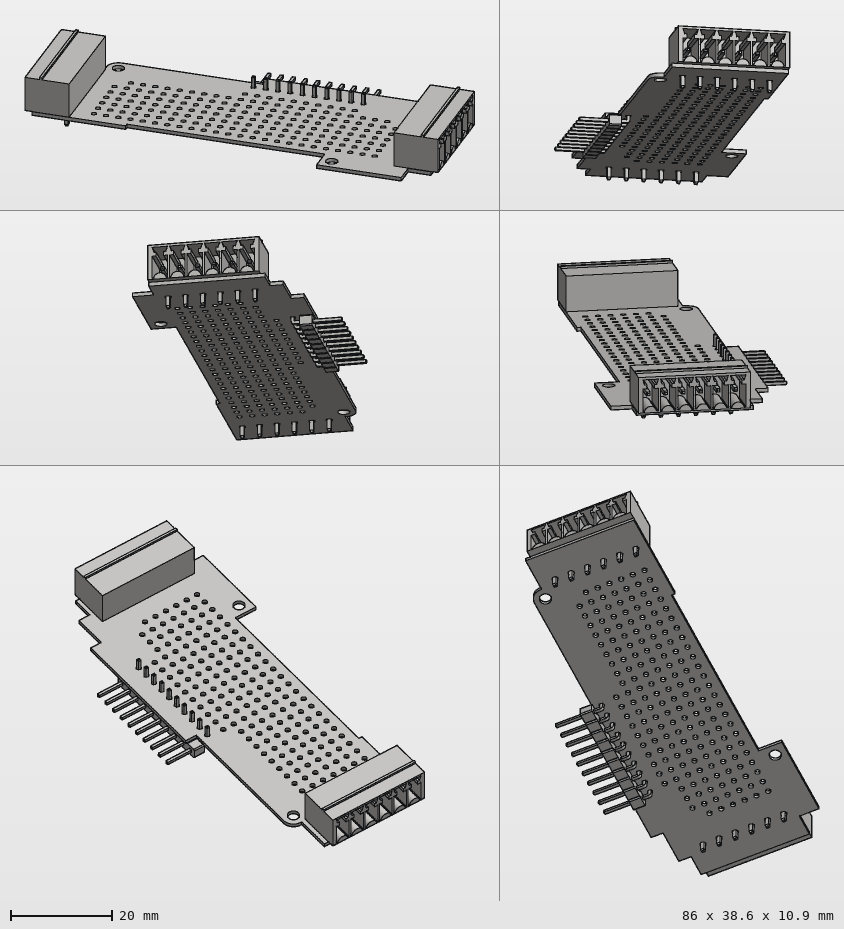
import cadquery as cq
import math

overall_length = 86.0
overall_width = 38.6
half_length = overall_length / 2
half_width = overall_width / 2

board_thickness = 0.8
end_tongue_x = 41.5
end_tongue_top_y = 8.4
end_tongue_bottom_y = -15.05
upper_edge_y = 11.1
header_edge_y = 13.7
header_edge_start_x = -2.4
header_edge_end_x = 29.3
right_shoulder_x = 36.8
lower_edge_y = -14.3
lower_left_step_x = -22.0
lower_tab_x = 19.2

mount_hole_diameter = 2.4
ear_radius = 2.4
ear_hole = (-31.6, upper_edge_y - ear_radius)
tab_hole = (21.5, -16.85)

grid_span = 58.5
grid_columns = 24
grid_pitch = grid_span / (grid_columns - 1)
grid_hole_diameter = 1.0
grid_first_x = -29.7
grid_first_y = -11.95
full_rows = 6
grid_rows = full_rows * [(0, 23)] + [(1, 22), (10, 19)]

header_pins = 10
header_center_x = 7.8
header_pin_y = 9.3
header_pin_size = 0.64
header_pin_tip = 0.2
header_pin_top_z = 2.4
header_pin_level_z = -1.9
header_bend_radius = 0.6
header_hole_diameter = 1.0
block_center_y = 12.1
block_depth = 2.5
block_height = 2.3
block_chamfer = 0.3
block_top_z = -board_thickness
block_center_z = block_top_z - block_height / 2
header_pin_xs = [
    header_center_x + (i - (header_pins - 1) / 2) * grid_pitch for i in range(header_pins)
]

overall_height = 10.9
terminal_pins = 6
terminal_row_span = 17.55
terminal_pitch = terminal_row_span / (terminal_pins - 1)
terminal_length = 9.2
terminal_width = 22.45
terminal_height = 7.3
left_terminal_y = -3.8
right_terminal_y = -3.7
ridge_offset = 3.0
ridge_width = 0.5
ridge_height = 0.4
pocket_depth = 6.9
pocket_half_width = 1.55
pocket_floor_z = 0.3
tooth_bottom_z = 4.9
tooth_top_z = 5.8
neck_half_width = 0.8
key_half_width = 1.2
pocket_top_z = 6.8
rib_radius = 1.3
contact_size = 0.8
contact_tip_inset = 0.2
contact_tip_length = 0.4
contact_z = 3.2
contact_recess = 2.15
solder_pin_offset = 7.9
solder_pin_bottom_z = terminal_height + ridge_height - overall_height
solder_hole_diameter = 1.2
terminal_pin_ys = [(i - (terminal_pins - 1) / 2) * terminal_pitch for i in range(terminal_pins)]


def box_between(low, high):
    """Box spanned by its lowest and highest corner."""
    size = [end - start for start, end in zip(low, high)]
    return cq.Workplane("XY").box(*size, centered=False).translate(low)


def board_blank():
    outline = (
        cq.Workplane("XY")
        .moveTo(-end_tongue_x, end_tongue_bottom_y)
        .lineTo(lower_left_step_x, end_tongue_bottom_y)
        .lineTo(lower_left_step_x, lower_edge_y)
        .lineTo(lower_tab_x, lower_edge_y)
        .lineTo(lower_tab_x, -half_width)
        .lineTo(right_shoulder_x, -half_width)
        .lineTo(right_shoulder_x, end_tongue_bottom_y)
        .lineTo(end_tongue_x, end_tongue_bottom_y)
        .lineTo(end_tongue_x, end_tongue_top_y)
        .lineTo(right_shoulder_x, end_tongue_top_y)
        .lineTo(right_shoulder_x, upper_edge_y)
        .lineTo(header_edge_end_x, upper_edge_y)
        .lineTo(header_edge_end_x, header_edge_y)
        .lineTo(header_edge_start_x, header_edge_y)
        .lineTo(header_edge_start_x, upper_edge_y)
        .lineTo(ear_hole[0], upper_edge_y)
        .radiusArc((ear_hole[0] - ear_radius, ear_hole[1]), -ear_radius)
        .lineTo(ear_hole[0] - ear_radius, end_tongue_top_y)
        .lineTo(-end_tongue_x, end_tongue_top_y)
        .close()
    )
    return outline.extrude(-board_thickness)


def drill(body, points, diameter):
    drills = cq.Workplane("XY").pushPoints(points).circle(diameter / 2).extrude(-board_thickness)
    return body.cut(drills)


def make_board():
    grid_points = [
        (grid_first_x + column * grid_pitch, grid_first_y + row * grid_pitch)
        for row, (first, last) in enumerate(grid_rows)
        for column in range(first, last + 1)
    ]
    solder_x = half_length - solder_pin_offset
    solder_rows = [(-solder_x, left_terminal_y), (solder_x, right_terminal_y)]
    solder_points = [(x, center_y + y) for x, center_y in solder_rows for y in terminal_pin_ys]
    header_points = [(x, header_pin_y) for x in header_pin_xs]
    board = drill(board_blank(), grid_points, grid_hole_diameter)
    board = drill(board, [ear_hole, tab_hole], mount_hole_diameter)
    board = drill(board, header_points, header_hole_diameter)
    return drill(board, solder_points, solder_hole_diameter)


def header_pin(x):
    """Square pin that rises through the board and bends towards +Y under it."""
    half = header_pin_size / 2
    upright = box_between(
        (x - half, header_pin_y - half, header_pin_level_z - half),
        (x + half, header_pin_y + half, header_pin_top_z),
    )
    level = box_between(
        (x - half, header_pin_y - half, header_pin_level_z - half),
        (x + half, half_width, header_pin_level_z + half),
    )
    upright = upright.faces(">Z").chamfer(header_pin_tip)
    level = level.faces(">Y").chamfer(header_pin_tip)
    return upright.union(level).edges("|X and <Y and <Z").fillet(header_bend_radius)


def make_header():
    header = None
    for x in header_pin_xs:
        unit = (
            cq.Workplane("XY")
            .box(grid_pitch, block_depth, block_height)
            .edges("|Y")
            .chamfer(block_chamfer)
            .translate((x, block_center_y, block_center_z))
            .union(header_pin(x))
        )
        header = unit if header is None else header.union(unit)
    return header


def terminal_pocket(y):
    """Keyed socket opening, with a round rib left standing on its floor."""
    right_side = [
        (pocket_half_width, pocket_floor_z),
        (pocket_half_width, tooth_bottom_z),
        (neck_half_width, tooth_bottom_z),
        (neck_half_width, tooth_top_z),
        (key_half_width, tooth_top_z),
        (pocket_half_width, pocket_top_z),
    ]
    left_side = [(-w, z) for w, z in reversed(right_side)]
    opening = cq.Workplane("YZ").polyline(right_side + left_side).close().extrude(pocket_depth)
    rib = cq.Workplane("YZ").circle(rib_radius).extrude(pocket_depth)
    return opening.cut(rib).translate((0, y, 0))


def tapered_pin(length):
    """Square pin that rises from Z = 0 and ends in a tapered tip."""
    taper = math.degrees(math.atan2(contact_tip_inset, contact_tip_length))
    shank = cq.Workplane("XY").rect(contact_size, contact_size).extrude(length - contact_tip_length)
    return shank.faces(">Z").wires().toPending().extrude(contact_tip_length, taper=taper)


def terminal_contact(y):
    """Contact pin pointing to the open face and the solder pin below, joined as one bent piece."""
    contact = tapered_pin(solder_pin_offset - contact_recess).rotate((0, 0, 0), (0, 1, 0), -90)
    solder_pin = tapered_pin(contact_z - solder_pin_bottom_z).rotate((0, 0, 0), (0, 1, 0), 180)
    return contact.union(solder_pin).translate((solder_pin_offset, y, contact_z))


def make_terminal():
    """Terminal socket that opens towards -X, with its open face at the left end of the assembly."""
    half = terminal_width / 2
    terminal = box_between((0, -half, 0), (terminal_length, half, terminal_height))
    ridge = box_between(
        (ridge_offset, -half, terminal_height),
        (ridge_offset + ridge_width, half, terminal_height + ridge_height),
    )
    terminal = terminal.union(ridge)
    for y in terminal_pin_ys:
        terminal = terminal.cut(terminal_pocket(y))
    for y in terminal_pin_ys:
        terminal = terminal.union(terminal_contact(y))
    return terminal.translate((-half_length, 0, 0))


board = make_board()
header = make_header()
terminals = []
for turn, center_y in ((0, left_terminal_y), (180, right_terminal_y)):
    terminal = make_terminal().rotate((0, 0, 0), (0, 0, 1), turn)
    terminals.append(terminal.translate((0, center_y, 0)))

result = cq.Compound.makeCompound(
    [board.val(), header.val(), *[terminal.val() for terminal in terminals]]
)